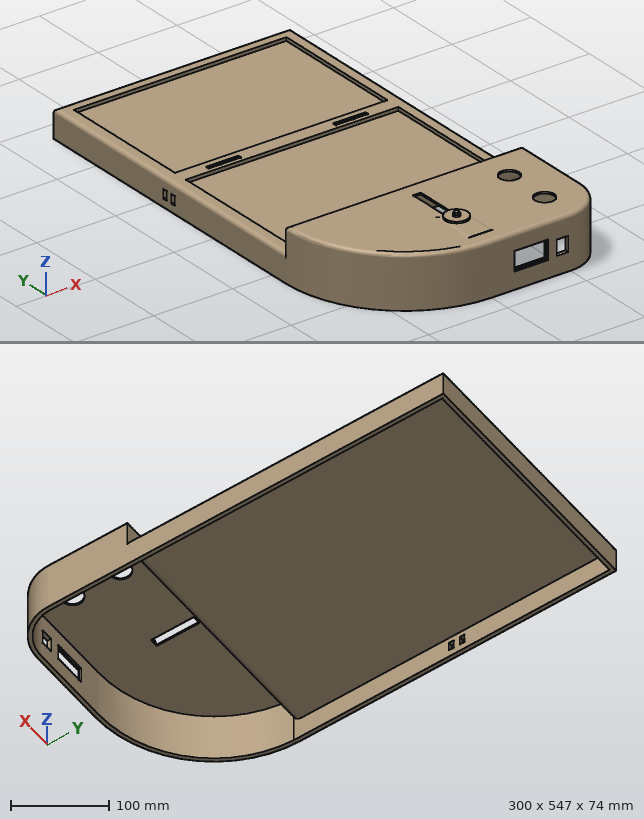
import cadquery as cq

length = 547.0
width = 300.0
half_width = width / 2
front_y = -length / 2
rear_y = length / 2

wall = 5.0
housing_top_wall = 2.0
edge_radius = 5.0
housing_height = 65.5
top_underside = housing_height - housing_top_wall
tray_height = 34.5
tray_ceiling = 28.0
left_radius = half_width
right_radius = 50.0
housing_rear_y = front_y + left_radius
lintel_radius = 10.0

screen_width = 269.0
screen_depth = 4.5
screen_spans = ((-113.0, 68.0), (86.5, 259.5))

hinge_x = 80.5
hinge_y = 76.0
hinge_length = 41.0
hinge_slot_width = 5.0
hinge_slot_depth = 4.5
hinge_pin_diameter = 3.2
hinge_gap_x = 83.0
hinge_gap = 1.5

port_centres_y = (69.5, 83.0)
port_width = 6.0
port_bottom = 10.0
port_top = 21.0

display_x = 50.5
display_width = 42.5
display_height = 23.5
display_z = 33.0
display_step = 1.5
switch_x = 89.5
switch_width = 14.0
switch_height = 18.5
switch_z = 31.5

knob_hole_diameter = 24.0
knob_hole_x = 100.0
knob_hole_centres_y = (-228.5, -168.5)

slot_width = 10.0
slot_rear_y = -145.5
button_y = -213.5
plate_width = 30.0
plate_front_y = -255.0
plate_rear_y = -199.0
plate_height = 0.5
plate_slope = 2.0
disc_diameter = 28.0
disc_bottom = 67.5
disc_top = 69.5
hub_diameter = 8.0
hub_top = 71.5
pin_diameter = 5.5
pin_top = 74.0


def box(x_min, x_max, y_min, y_max, z_min, z_max):
    """Axis-aligned box given by its limits."""
    size = (x_max - x_min, y_max - y_min, z_max - z_min)
    return cq.Workplane("XY").box(*size, centered=False).translate((x_min, y_min, z_min))


def cylinder(diameter, x, y, z_min, z_max):
    """Upright cylinder."""
    base = cq.Workplane("XY", origin=(x, y, z_min))
    return base.circle(diameter / 2).extrude(z_max - z_min)


def housing_block(inset, height):
    """Housing outline, moved inward by inset: a large left and a small right front corner."""
    side = half_width - inset
    front = front_y + inset
    rear = housing_rear_y - inset
    right_r = right_radius - inset
    diagonal = 0.5 ** 0.5
    left_r = left_radius - inset
    left_mid = (-left_r * diagonal, housing_rear_y - left_r * diagonal)
    right_mid = (side - right_r * (1 - diagonal), front + right_r * (1 - diagonal))
    rear_left_x = -(left_r ** 2 - inset ** 2) ** 0.5
    return (
        cq.Workplane("XY")
        .moveTo(rear_left_x, rear)
        .threePointArc(left_mid, (0, front))
        .lineTo(side - right_r, front)
        .threePointArc(right_mid, (side, front + right_r))
        .lineTo(side, rear)
        .close()
        .extrude(height)
    )


def outer_body():
    housing = housing_block(0, housing_height).faces(">Z").edges().fillet(edge_radius)
    tray = box(-half_width, half_width, housing_rear_y - wall, rear_y, 0, tray_height)
    tray = tray.faces(">Z").edges("<X or >X or >Y").fillet(edge_radius)
    tray = tray.intersect(box(-half_width, half_width, housing_rear_y, rear_y, 0, tray_height))
    return housing.union(tray)


def inner_cavity():
    """Housing and tray cavities, joined under the rounded lower edge of the housing rear wall."""
    housing = housing_block(wall, top_underside)
    inner_side = half_width - wall
    inner_rear = housing_rear_y - wall
    tray = box(-inner_side, inner_side, inner_rear, rear_y - wall, 0, tray_ceiling)
    lintel = (
        cq.Workplane("YZ", origin=(-inner_side, 0, 0))
        .moveTo(inner_rear, tray_ceiling + lintel_radius)
        .radiusArc((inner_rear + lintel_radius, tray_ceiling), -lintel_radius)
        .lineTo(inner_rear, tray_ceiling)
        .close()
        .extrude(2 * inner_side)
    )
    return housing.union(tray).union(lintel)


def front_opening(x, z, opening_width, height, y_max):
    """Rectangular cut into the front wall, reaching to y_max."""
    half = opening_width / 2
    return box(x - half, x + half, front_y, y_max, z - height / 2, z + height / 2)


def guide_plate():
    """Thin plate on the housing top with sloped sides and rear end, let into the top wall."""
    top = housing_height + plate_height
    half = plate_width / 2
    plate = (
        cq.Workplane("XZ", origin=(0, plate_rear_y, 0))
        .moveTo(-half, top_underside)
        .lineTo(half, top_underside)
        .lineTo(half, housing_height)
        .lineTo(half - plate_slope, top)
        .lineTo(plate_slope - half, top)
        .lineTo(-half, housing_height)
        .close()
        .extrude(plate_rear_y - plate_front_y)
    )
    rear_slope = (
        cq.Workplane("YZ", origin=(-half, 0, 0))
        .moveTo(plate_rear_y, housing_height)
        .lineTo(plate_rear_y, top)
        .lineTo(plate_rear_y - plate_slope, top)
        .close()
        .extrude(plate_width)
    )
    return plate.cut(rear_slope)


def screen_recess(y_min, y_max):
    half = screen_width / 2
    return box(-half, half, y_min, y_max, tray_height - screen_depth, tray_height)


def hinge_slot(x_min):
    """Narrow slot in the bar between the screens."""
    y_min = hinge_y - hinge_slot_width / 2
    y_max = hinge_y + hinge_slot_width / 2
    return box(x_min, x_min + hinge_length, y_min, y_max, tray_height - hinge_slot_depth, tray_height)


def hinge_pin(x_min, pin_length):
    """Piece of the hinge pin lying along X, level with the tray top."""
    radius = hinge_pin_diameter / 2
    base = cq.Workplane("YZ", origin=(x_min, hinge_y, tray_height - radius))
    return base.circle(radius).extrude(pin_length)


def side_port(y):
    half = port_width / 2
    return box(-half_width, wall - half_width, y - half, y + half, port_bottom, port_top)


def slider_slot():
    half = slot_width / 2
    return box(-half, half, button_y, slot_rear_y, top_underside, housing_height)


def slider_button():
    """Flat disc held just above the plate by a hub, with a thin pin on top."""
    hub = cylinder(hub_diameter, 0, button_y, housing_height, hub_top)
    disc = cylinder(disc_diameter, 0, button_y, disc_bottom, disc_top)
    pin = cylinder(pin_diameter, 0, button_y, hub_top, pin_top)
    return hub.union(disc).union(pin)


body = outer_body().cut(inner_cavity())

for screen_front, screen_rear in screen_spans:
    body = body.cut(screen_recess(screen_front, screen_rear))

for side in (-1, 1):
    slot_left = side * hinge_x - hinge_length / 2
    slot_right = slot_left + hinge_length
    gap_left = side * hinge_gap_x - hinge_gap / 2
    gap_right = gap_left + hinge_gap
    body = body.cut(hinge_slot(slot_left))
    body = body.union(hinge_pin(slot_left, gap_left - slot_left))
    body = body.union(hinge_pin(gap_right, slot_right - gap_right))

for port_y in port_centres_y:
    body = body.cut(side_port(port_y))

inner_front = front_y + wall
step_y = front_y + wall / 2
display_inner_width = display_width - 2 * display_step
display_inner_height = display_height - 2 * display_step
body = body.cut(front_opening(display_x, display_z, display_width, display_height, step_y))
body = body.cut(front_opening(display_x, display_z, display_inner_width, display_inner_height, inner_front))
body = body.cut(front_opening(switch_x, switch_z, switch_width, switch_height, inner_front))

for hole_y in knob_hole_centres_y:
    body = body.cut(cylinder(knob_hole_diameter, knob_hole_x, hole_y, top_underside, housing_height))
body = body.cut(slider_slot())
body = body.union(guide_plate())
body = body.union(slider_button())

result = body